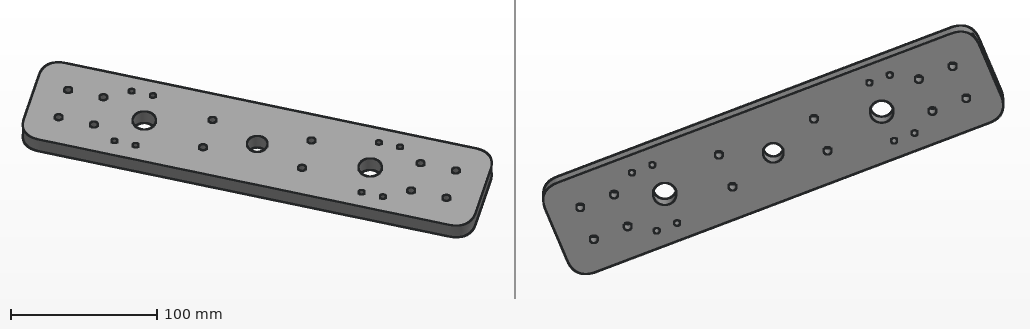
import cadquery as cq

length = 320.0
width = 70.0
thickness = 12.8
corner_size = 15.0
corner_handle = 9.5

center_bore_diameter = 14.0
side_bore_diameter = 16.0
side_bore_x = length / 4

mount_diameter = 5.5
mount_pitch = 25.0
end_square_x = 124.8
middle_spacing_x = 70.0

small_diameter = 4.0
small_pitch_x = 15.0
small_row_y = 22.7


def plate_outline():
    """Rectangle with smooth corner blends slightly fuller than circular arcs."""
    half_x = length / 2
    half_y = width / 2
    near_corner = corner_size - corner_handle
    outline = cq.Workplane("XY").moveTo(half_x - corner_size, -half_y)
    for sx, sy in [(1, -1), (1, 1), (-1, 1), (-1, -1)]:
        along_x = [(sx * (half_x - inset), sy * half_y) for inset in (corner_size, near_corner)]
        along_y = [(sx * half_x, sy * (half_y - inset)) for inset in (corner_size, near_corner)]
        entry, leaving = (along_x, along_y) if sx != sy else (along_y, along_x)
        if (sx, sy) != (1, -1):
            outline = outline.lineTo(*entry[0])
        outline = outline.bezier([*entry, *reversed(leaving)])
    return outline.close()


def mirrored_points(x_positions, y):
    """Repeat points in all four quadrants of the plate."""
    return [(sx * x, sy * y) for x in x_positions for sx in (-1, 1) for sy in (-1, 1)]


def drill(plate, points, diameter):
    """Cut through holes from the top face."""
    return plate.faces(">Z").workplane(origin=(0, 0, thickness)).pushPoints(points).hole(diameter)


mount_x = [
    middle_spacing_x / 2,
    end_square_x - mount_pitch / 2,
    end_square_x + mount_pitch / 2,
]
small_x = [side_bore_x, side_bore_x + small_pitch_x]

plate = plate_outline().extrude(thickness)

plate = drill(plate, [(0, 0)], center_bore_diameter)
plate = drill(plate, [(-side_bore_x, 0), (side_bore_x, 0)], side_bore_diameter)
plate = drill(plate, mirrored_points(mount_x, mount_pitch / 2), mount_diameter)
plate = drill(plate, mirrored_points(small_x, small_row_y), small_diameter)

result = plate